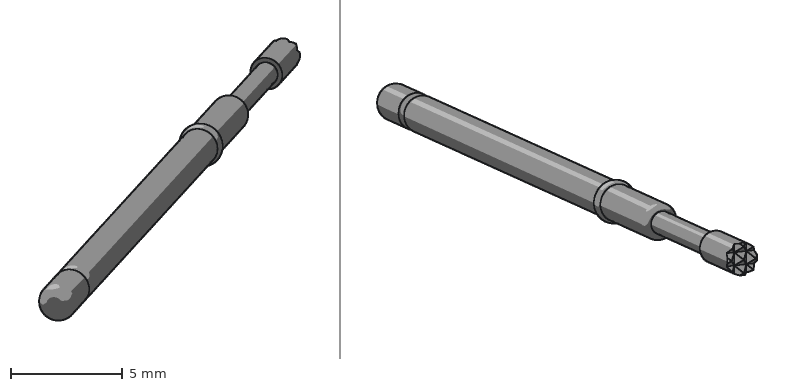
import cadquery as cq
import math

total_length = 35.7
tip_y = total_length / 2
tail_y = -total_length / 2

head_radius = 0.75
head_length = 2.93
rod_radius = 0.55
point_pitch = 0.6
point_depth = 0.35
points_across = 3

barrel_radius = 0.85
barrel_length = 27.4
mouth_round = barrel_radius - rod_radius
tail_round = 0.45

ring_radius = 1.0
ring_width = 0.55
ring_from_tip = 13.03

plug_length = 2.55
crimp_round = 0.32
crimp_from_tail = 3.18
crimp_edge_radius = 0.7
channel_floor_radius = 0.65
channel_floor_from_tail = 2.8

mouth_y = tail_y + barrel_length
head_base_y = tip_y - head_length
ring_y = tip_y - ring_from_tip


def arc_point(center, radius, angle):
    """Point at an angle on a circle in the half plane of radius and Y."""
    return (center[0] + radius * math.cos(angle), center[1] + radius * math.sin(angle))


def make_turned_body():
    """Barrel, rod and plain head as one turned solid."""
    tail_center = (barrel_radius - tail_round, tail_y + tail_round)
    mouth_center = (barrel_radius - mouth_round, mouth_y - mouth_round)
    crimp_center = (barrel_radius - crimp_round, tail_y + crimp_from_tail)
    crimp_angle = -math.acos((crimp_edge_radius - crimp_center[0]) / crimp_round)
    crimp_edge = arc_point(crimp_center, crimp_round, crimp_angle)
    channel_floor = (channel_floor_radius, tail_y + channel_floor_from_tail)
    profile = (
        cq.Workplane("XY")
        .moveTo(0, tail_y)
        .lineTo(tail_center[0], tail_y)
        .threePointArc(
            arc_point(tail_center, tail_round, -math.pi / 4),
            (barrel_radius, tail_center[1]),
        )
        .lineTo(barrel_radius, tail_y + plug_length)
        .threePointArc(channel_floor, crimp_edge)
        .threePointArc(
            arc_point(crimp_center, crimp_round, crimp_angle / 2),
            (barrel_radius, crimp_center[1]),
        )
        .lineTo(barrel_radius, ring_y - ring_width / 2)
        .ellipseArc(ring_radius - barrel_radius, ring_width / 2, -90, 90)
        .lineTo(barrel_radius, mouth_center[1])
        .threePointArc(
            arc_point(mouth_center, mouth_round, math.pi / 4),
            (rod_radius, mouth_y),
        )
        .lineTo(rod_radius, head_base_y)
        .lineTo(head_radius, head_base_y)
        .lineTo(head_radius, tip_y)
        .lineTo(0, tip_y)
        .close()
    )
    return profile.revolve(360, (0, 0, 0), (0, 1, 0))


def make_serration(x):
    """V groove across the head along Z, centred at the given X."""
    return (
        cq.Workplane("XY")
        .moveTo(x - point_pitch / 2, tip_y)
        .lineTo(x, tip_y - point_depth)
        .lineTo(x + point_pitch / 2, tip_y)
        .close()
        .extrude(2 * head_radius, both=True)
    )


result = make_turned_body()

for number in range(points_across + 1):
    groove = make_serration((number - points_across / 2) * point_pitch)
    crossing_groove = groove.rotate((0, 0, 0), (0, 1, 0), 90)
    result = result.cut(groove).cut(crossing_groove)